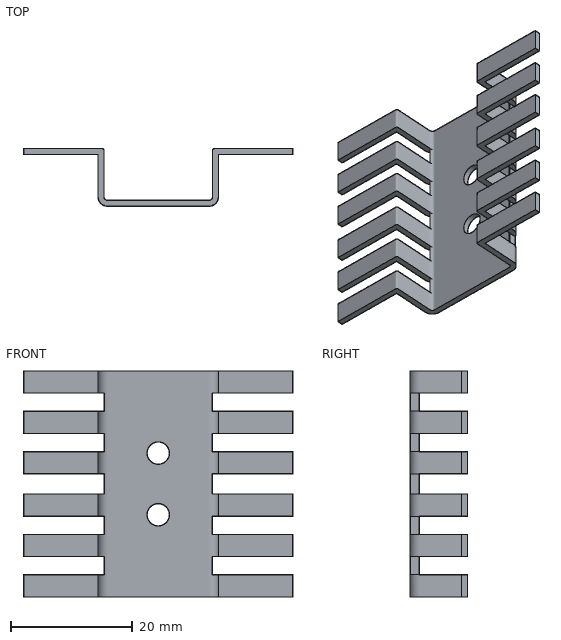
import cadquery as cq

width = 44.45
depth = 9.55
height = 37.35
thickness = 1.02

channel_width = 19.9
bend_outer_radius = 1.6
bend_inner_radius = bend_outer_radius - thickness
flange_corner_radius = 0.3

fingers_per_group = 3
finger_height = 3.7
finger_pitch = 6.65
slot_height = finger_pitch - finger_height

hole_diameter = 3.65
hole_spacing = 10.2

half_width = width / 2
outer_wall = channel_width / 2
inner_wall = outer_wall - thickness
front = -depth / 2
back = depth / 2


def hat_channel():
    """Sheet-metal hat section, with its base at the front and its flanges at the back."""
    outline = [
        (-half_width, back),
        (-inner_wall, back),
        (-inner_wall, front + thickness),
        (inner_wall, front + thickness),
        (inner_wall, back),
        (half_width, back),
        (half_width, back - thickness),
        (outer_wall, back - thickness),
        (outer_wall, front),
        (-outer_wall, front),
        (-outer_wall, back - thickness),
        (-half_width, back - thickness),
    ]
    section = cq.Workplane("XY").workplane(offset=-height / 2).polyline(outline).close()
    return round_bends(section.extrude(height))


def upright_edges(x, y):
    """Selector for the pair of vertical edges at (-x, y) and (x, y)."""
    left = cq.selectors.NearestToPointSelector((-x, y, 0))
    right = cq.selectors.NearestToPointSelector((x, y, 0))
    return left + right


def round_bends(channel):
    channel = channel.edges(upright_edges(outer_wall, front)).fillet(bend_outer_radius)
    channel = channel.edges(upright_edges(inner_wall, front + thickness)).fillet(bend_inner_radius)
    return channel.edges(upright_edges(inner_wall, back)).fillet(flange_corner_radius)


def gap_positions():
    """(centre z, height) of every gap between neighbouring fingers."""
    group_height = (fingers_per_group - 1) * finger_pitch + finger_height
    gaps = [(0, height - 2 * group_height)]
    for i in range(fingers_per_group - 1):
        z = height / 2 - finger_height - slot_height / 2 - i * finger_pitch
        gaps += [(z, slot_height), (-z, slot_height)]
    return gaps


def finger_gaps():
    """Cutters that clear both flanges and side walls, as deep as the inner wall faces."""
    cut_width = half_width - inner_wall
    cut_center = inner_wall + cut_width / 2
    cutters = cq.Workplane("XY")
    for z, gap_height in gap_positions():
        for side in (-1, 1):
            gap = cq.Workplane("XY").box(cut_width, depth, gap_height)
            cutters = cutters.add(gap.translate((side * cut_center, 0, z)))
    return cutters.combine()


def mounting_holes():
    holes = cq.Workplane("XZ").pushPoints([(0, -hole_spacing / 2), (0, hole_spacing / 2)])
    return holes.circle(hole_diameter / 2).extrude(depth / 2)


result = hat_channel().cut(finger_gaps()).cut(mounting_holes())